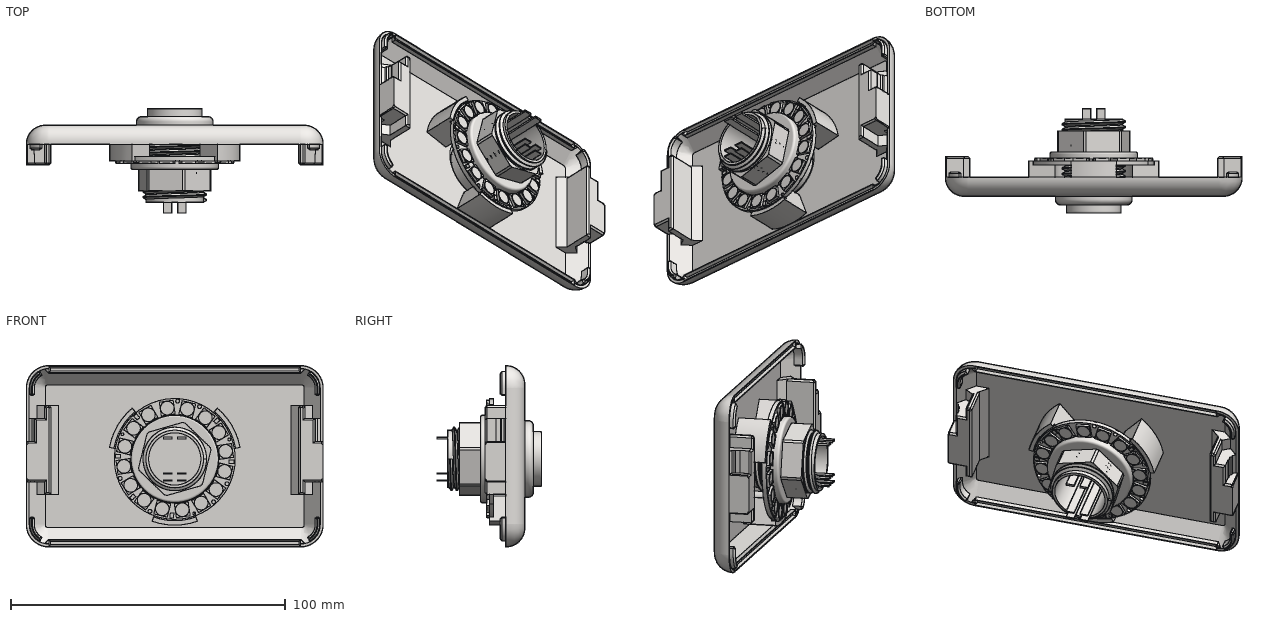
import cadquery as cq
import math


COVER_LENGTH = 108.0
COVER_HEIGHT = 66.0
COVER_DEPTH = 7.0
COVER_CORNER_RADIUS = 8.2
COVER_EDGE_RADIUS = 6.9
FACE_THICKNESS = 1.0
CAVITY_DEPTH = COVER_DEPTH - FACE_THICKNESS
RIM_WIDTH = 1.1
FLOOR_LENGTH = 94.2
FLOOR_HEIGHT = 51.8
FLOOR_CORNER_RADIUS = 1.0

LIP_LENGTH = COVER_LENGTH - 2 * COVER_CORNER_RADIUS
LIP_WIDTH = 2.8
LIP_MITRE = 1.5
LIP_ROOT_DEPTH = 1.8
GROOVE_OFFSET = 0.3
GROOVE_WIDTH = 2.3
GROOVE_DEPTH = 1.0
GROOVE_WALL_RUN = 0.6

LUG_OUTER_RADIUS = 6.9
LUG_INNER_RADIUS = 5.3
LUG_PROTRUSION = 1.9
LUG_ROOT_DEPTH = 2.7
LUG_STRAIGHT = 2.7
LUG_SWEEP = 62.0
LUG_END_CHAMFER = 0.6
LUG_TAIL_CHAMFER = 0.4

CLIP_REACH = 7.5
CLIP_TOP = 18.5
CLIP_BOTTOM = -13.8
CLIP_CHAMFER = 0.6
OUTER_BLOCK_CHAMFER = 0.3
PLATE_OUTER_OFFSET = 6.7
PLATE_INNER_OFFSET = 9.0
RAMP_RUN = 2.8
OUTER_RAMP_RISE = 1.8
OUTER_RAMP_DEPTH = 3.0
INNER_BLOCK_OFFSET = 3.0
INNER_BLOCK_TOP = 13.8
INNER_BLOCK_ROOT = 4.3
OUTER_BLOCK_OFFSET = 0.1
OUTER_BLOCK_TOP = 5.4
OUTER_BLOCK_ROOT = 0.5
BLOCK_BOTTOM = -9.3
CATCH_CREST_OFFSET = 2.2
CATCH_LEDGE_OFFSET = 2.8
CATCH_CREST_START = 0.6
CATCH_CREST_END = 1.4
CATCH_LEDGE_START = 1.8
CATCH_LEDGE_END = 3.5

AXIS_Z = -1.0
HOLDER_COUNT = 3
HOLDER_FIRST_ANGLE = 30.0
HOLDER_INNER_RADIUS = 14.3
HOLDER_OUTER_RADIUS = 24.1
HOLDER_SPAN = 40.0
HOLDER_REACH = 5.9
SEAT_DIAMETER = 44.9

BOARD_DIAMETER = 44.0
BOARD_BORE = 31.6
BOARD_THICKNESS = 1.6
LED_COUNT = 16
LED_PITCH = 360.0 / LED_COUNT
LED_PHASE = -14.1
LED_CIRCLE_RADIUS = 18.7
LED_SIZE = 5.1
LED_HEIGHT = 1.1
LENS_DIAMETER = 5.0
LENS_RECESS = 0.2
BOARD_HOLE_RADIUS = 21.1
LARGE_HOLE_DIAMETER = 1.4
SMALL_HOLE_DIAMETER = 1.0
LARGE_HOLE_GAPS = (3, 4, 9, 11, 14, 15)
SMALL_HOLE_GAPS = (1, 7, 13)
CAPACITOR_GAPS = (0, 2, 6, 8, 10, 12)
CAPACITOR_LENGTH = 1.8
CAPACITOR_WIDTH = 1.3
CAPACITOR_HEIGHT = 0.6
CAPACITOR_RADIUS = 20.6

BEZEL_DIAMETER = 28.0
BEZEL_THICKNESS = 3.1
BEZEL_FILLET = 1.9
COVER_HOLE_DIAMETER = 24.0
CORE_DIAMETER = 21.0
BORE_DIAMETER = 19.0
HOUSING_END = 21.1
WEB_THICKNESS = 2.2
THREAD_DIAMETER = 23.1
THREAD_LENGTH = 22.0
THREAD_TURNS = 11
THREAD_PITCH = THREAD_LENGTH / THREAD_TURNS
THREAD_END = 20.2
THREAD_ROOT_WIDTH = 1.7
THREAD_CREST_WIDTH = 0.3
THREAD_OVERLAP = 0.1

TERMINAL_WIDTH = 3.0
TERMINAL_SPACING = 5.2
TERMINAL_END = 25.0
TERMINAL_ROWS = ((7.6, 0.8), (-5.3, 0.4), (-7.9, 0.4))

FLANGE_DIAMETER = 32.0
FLANGE_END = 9.2
FLANGE_FILLET = 0.9
HEX_ACROSS_FLATS = 24.0
HEX_CORNER_DIAMETER = 27.1
HEX_ANGLE = -14.0
NUT_END = 16.8

PLUNGER_DIAMETER = 20.0
PLUNGER_FRONT = 13.1
PLUNGER_CHAMFER = (0.5, 0.1)


def plane_at(y, x=0.0, z=0.0):
    """Sketch plane at height y: local axes are X and Z, extrusion goes toward -Y."""
    return cq.Workplane("XZ", origin=(x, y, z))


def axis_plane(y):
    """Sketch plane at height y, centred on the button axis."""
    return plane_at(y, z=AXIS_Z)


def cylinder(diameter, y_start, y_end):
    """Cylinder on the button axis running from y_start back to y_end."""
    return axis_plane(y_start).circle(diameter / 2).extrude(y_start - y_end)


def block(x_range, y_range, z_range):
    """Box given by its limits along each axis."""
    lows = [min(limits) for limits in (x_range, y_range, z_range)]
    sizes = [max(limits) - min(limits) for limits in (x_range, y_range, z_range)]
    return cq.Workplane("XY").box(*sizes, centered=False).translate(tuple(lows))


def rounded_rectangle(length, height, radius):
    return cq.Sketch().rect(length, height).vertices().fillet(radius)


def polar_point(radius, angle):
    return (radius * math.cos(math.radians(angle)), radius * math.sin(math.radians(angle)))


def four_corners(body):
    """The body and its mirror images across the YZ and XY planes."""
    pair = body.union(body.mirror("YZ"))
    return pair.union(pair.mirror("XY"))



def make_shell():
    outline = rounded_rectangle(COVER_LENGTH, COVER_HEIGHT, COVER_CORNER_RADIUS)
    shell = plane_at(COVER_DEPTH).placeSketch(outline).extrude(COVER_DEPTH)
    shell = shell.faces(">Y").edges().fillet(COVER_EDGE_RADIUS)
    floor_outline = rounded_rectangle(FLOOR_LENGTH, FLOOR_HEIGHT, FLOOR_CORNER_RADIUS)
    rim_outline = rounded_rectangle(
        COVER_LENGTH - 2 * RIM_WIDTH, COVER_HEIGHT - 2 * RIM_WIDTH, COVER_CORNER_RADIUS - RIM_WIDTH
    )
    cavity = (
        plane_at(CAVITY_DEPTH)
        .placeSketch(floor_outline, rim_outline.moved(cq.Location(cq.Vector(0, 0, CAVITY_DEPTH))))
        .loft()
    )
    return shell.cut(cavity)


def make_lip():
    """Grooved bar along the +Z rim, mitred at its ends."""
    half_length = LIP_LENGTH / 2
    inner_z = COVER_HEIGHT / 2 - LIP_WIDTH
    outer_z = inner_z + LIP_MITRE
    return (
        plane_at(LIP_ROOT_DEPTH)
        .polyline(
            [
                (-half_length, inner_z),
                (half_length, inner_z),
                (half_length + LIP_MITRE, outer_z),
                (-half_length - LIP_MITRE, outer_z),
            ]
        )
        .close()
        .extrude(LIP_ROOT_DEPTH)
    )


def make_lip_groove():
    """Groove in the +Z rim that narrows with depth on all four sides."""
    wall_angle = math.degrees(math.atan(GROOVE_WALL_RUN / GROOVE_DEPTH))
    centre_z = COVER_HEIGHT / 2 - GROOVE_OFFSET - GROOVE_WIDTH / 2
    return plane_at(0, z=centre_z).rect(LIP_LENGTH, GROOVE_WIDTH).extrude(-GROOVE_DEPTH, taper=wall_angle)


def make_corner_lug():
    """Locating lug inside the +X, +Z corner: an arc with a short straight tail."""
    centre_x = COVER_LENGTH / 2 - COVER_CORNER_RADIUS
    centre_z = COVER_HEIGHT / 2 - COVER_CORNER_RADIUS
    lug = (
        plane_at(LUG_ROOT_DEPTH, centre_x, centre_z)
        .moveTo(LUG_INNER_RADIUS, -LUG_STRAIGHT)
        .lineTo(LUG_OUTER_RADIUS, -LUG_STRAIGHT)
        .lineTo(LUG_OUTER_RADIUS, 0)
        .threePointArc(
            polar_point(LUG_OUTER_RADIUS, LUG_SWEEP / 2), polar_point(LUG_OUTER_RADIUS, LUG_SWEEP)
        )
        .lineTo(*polar_point(LUG_INNER_RADIUS, LUG_SWEEP))
        .threePointArc(polar_point(LUG_INNER_RADIUS, LUG_SWEEP / 2), (LUG_INNER_RADIUS, 0))
        .close()
        .extrude(LUG_ROOT_DEPTH + LUG_PROTRUSION)
    )
    lug = lug.edges("|Y and <Z").chamfer(LUG_TAIL_CHAMFER)
    return lug.faces("<Y").edges().chamfer(LUG_END_CHAMFER)


def make_clip():
    """Snap clip on the +X side: braced plate, two stepped blocks and a catch."""
    side = COVER_LENGTH / 2
    plate_outer = side - PLATE_OUTER_OFFSET
    plate_inner = side - PLATE_INNER_OFFSET
    block_outer = side - INNER_BLOCK_OFFSET
    outer_block_side = side - OUTER_BLOCK_OFFSET
    plate = block((plate_inner, plate_outer), (CAVITY_DEPTH, -CLIP_REACH), (CLIP_BOTTOM, CLIP_TOP))
    plate = plate.faces(">Z").edges("|Y").chamfer(CLIP_CHAMFER)
    inner_block = block(
        (plate_inner, block_outer), (INNER_BLOCK_ROOT, -CLIP_REACH), (BLOCK_BOTTOM, INNER_BLOCK_TOP)
    )
    outer_block = block(
        (plate_inner, outer_block_side),
        (OUTER_BLOCK_ROOT, -CLIP_REACH),
        (BLOCK_BOTTOM, OUTER_BLOCK_TOP),
    )
    outer_block = outer_block.faces(">X").edges("|Y").chamfer(OUTER_BLOCK_CHAMFER)
    clip = plate.union(inner_block).union(outer_block).clean()
    clip = clip.faces("<Y").edges("not >X").chamfer(CLIP_CHAMFER)
    return clip.union(make_ramps(plate_inner, plate_outer)).union(make_catch(block_outer))


def make_ramps(plate_inner, plate_outer):
    """Wedges that brace the clip plate against the floor and the sloping side wall."""
    return (
        cq.Workplane("XY", origin=(0, 0, CLIP_BOTTOM))
        .moveTo(plate_inner - RAMP_RUN, CAVITY_DEPTH)
        .lineTo(plate_inner, CAVITY_DEPTH - RAMP_RUN)
        .lineTo(plate_outer, OUTER_RAMP_DEPTH - OUTER_RAMP_RISE)
        .lineTo(plate_outer + RAMP_RUN, OUTER_RAMP_DEPTH)
        .lineTo(plate_outer, CAVITY_DEPTH)
        .close()
        .extrude(CLIP_TOP - CLIP_BOTTOM)
    )


def make_catch(block_outer):
    """Snap ridge on the upper step of the clip, running down to the rim."""
    crest = COVER_LENGTH / 2 - CATCH_CREST_OFFSET
    ledge = COVER_LENGTH / 2 - CATCH_LEDGE_OFFSET
    rim_inner = COVER_LENGTH / 2 - RIM_WIDTH
    return (
        cq.Workplane("XY", origin=(0, 0, OUTER_BLOCK_TOP))
        .moveTo(block_outer, INNER_BLOCK_ROOT)
        .lineTo(rim_inner, RIM_WIDTH)
        .lineTo(rim_inner, 0)
        .lineTo(crest, -CATCH_CREST_START)
        .lineTo(crest, -CATCH_CREST_END)
        .lineTo(ledge, -CATCH_LEDGE_START)
        .lineTo(ledge, -CATCH_LEDGE_END)
        .lineTo(block_outer, -CATCH_LEDGE_END)
        .close()
        .extrude(INNER_BLOCK_TOP - OUTER_BLOCK_TOP)
    )


def make_holder(angle):
    """Arc-shaped post that carries the LED ring, centred on the given angle."""
    start = angle - HOLDER_SPAN / 2
    end = angle + HOLDER_SPAN / 2
    return (
        axis_plane(CAVITY_DEPTH)
        .moveTo(*polar_point(HOLDER_INNER_RADIUS, start))
        .lineTo(*polar_point(HOLDER_OUTER_RADIUS, start))
        .threePointArc(polar_point(HOLDER_OUTER_RADIUS, angle), polar_point(HOLDER_OUTER_RADIUS, end))
        .lineTo(*polar_point(HOLDER_INNER_RADIUS, end))
        .threePointArc(
            polar_point(HOLDER_INNER_RADIUS, angle), polar_point(HOLDER_INNER_RADIUS, start)
        )
        .close()
        .extrude(CAVITY_DEPTH + HOLDER_REACH)
    )


def make_cover():
    clip = make_clip()
    lip = make_lip()
    groove = make_lip_groove()
    cover = make_shell().union(lip).union(lip.mirror("XY"))
    cover = cover.cut(groove).cut(groove.mirror("XY"))
    cover = cover.union(four_corners(make_corner_lug()))
    cover = cover.union(clip).union(clip.mirror("YZ"))
    for index in range(HOLDER_COUNT):
        cover = cover.union(make_holder(HOLDER_FIRST_ANGLE + index * 360 / HOLDER_COUNT))
    ring_seat = cylinder(SEAT_DIAMETER, BOARD_THICKNESS - HOLDER_REACH, -HOLDER_REACH)
    button_hole = cylinder(COVER_HOLE_DIAMETER, COVER_DEPTH, 0)
    return cover.cut(ring_seat).cut(button_hole)



def make_led(angle):
    led = plane_at(-HOLDER_REACH).rect(LED_SIZE, LED_SIZE).extrude(LED_HEIGHT)
    led = led.faces("<Y").workplane().hole(LENS_DIAMETER, LENS_RECESS)
    return place_on_ring(led, LED_CIRCLE_RADIUS, angle)


def make_capacitor(angle):
    part = plane_at(-HOLDER_REACH).rect(CAPACITOR_LENGTH, CAPACITOR_WIDTH).extrude(CAPACITOR_HEIGHT)
    return place_on_ring(part, CAPACITOR_RADIUS, angle)


def place_on_ring(part, radius, angle):
    """Move a part out along +X, then turn it about the button axis."""
    moved = part.translate((radius, 0, AXIS_Z))
    return moved.rotate((0, 0, AXIS_Z), (0, -1, AXIS_Z), angle)


def gap_angle(gap):
    """Angle of the gap that follows the LED with the same number."""
    return LED_PHASE + (gap + 0.5) * LED_PITCH


def drill_board(board, gaps, diameter):
    centres = [polar_point(BOARD_HOLE_RADIUS, gap_angle(gap)) for gap in gaps]
    holes = (
        axis_plane(BOARD_THICKNESS - HOLDER_REACH)
        .pushPoints(centres)
        .circle(diameter / 2)
        .extrude(BOARD_THICKNESS)
    )
    return board.cut(holes)


def make_led_ring():
    ring = cylinder(BOARD_DIAMETER, BOARD_THICKNESS - HOLDER_REACH, -HOLDER_REACH)
    ring = ring.cut(cylinder(BOARD_BORE, BOARD_THICKNESS - HOLDER_REACH, -HOLDER_REACH))
    ring = drill_board(ring, LARGE_HOLE_GAPS, LARGE_HOLE_DIAMETER)
    ring = drill_board(ring, SMALL_HOLE_GAPS, SMALL_HOLE_DIAMETER)
    for index in range(LED_COUNT):
        ring = ring.union(make_led(LED_PHASE + index * LED_PITCH))
    for gap in CAPACITOR_GAPS:
        ring = ring.union(make_capacitor(gap_angle(gap)))
    return ring



def make_thread():
    """Right-handed helical ridge around the housing core."""
    core_radius = CORE_DIAMETER / 2
    root_radius = core_radius - THREAD_OVERLAP
    helix = cq.Wire.makeHelix(THREAD_PITCH, THREAD_LENGTH, core_radius)
    ridge = (
        cq.Workplane("XZ")
        .moveTo(root_radius, -THREAD_ROOT_WIDTH / 2)
        .lineTo(THREAD_DIAMETER / 2, -THREAD_CREST_WIDTH / 2)
        .lineTo(THREAD_DIAMETER / 2, THREAD_CREST_WIDTH / 2)
        .lineTo(root_radius, THREAD_ROOT_WIDTH / 2)
        .close()
        .sweep(cq.Workplane(helix), isFrenet=True)
    )
    ridge = ridge.rotate((0, 0, 0), (1, 0, 0), 90)
    return ridge.translate((0, THREAD_LENGTH - THREAD_END, AXIS_Z))


def make_terminals(floor_y):
    terminals = cq.Workplane("XZ")
    for height, thickness in TERMINAL_ROWS:
        row = (
            axis_plane(floor_y)
            .pushPoints([(-TERMINAL_SPACING / 2, height), (TERMINAL_SPACING / 2, height)])
            .rect(TERMINAL_WIDTH, thickness)
            .extrude(floor_y + TERMINAL_END)
        )
        terminals = terminals.add(row)
    return terminals


def make_housing():
    bezel_front = COVER_DEPTH + BEZEL_THICKNESS
    floor_y = COVER_DEPTH - WEB_THICKNESS
    bezel = cylinder(BEZEL_DIAMETER, bezel_front, COVER_DEPTH)
    bezel = bezel.faces(">Y").edges().fillet(BEZEL_FILLET)
    housing = bezel.union(cylinder(CORE_DIAMETER, COVER_DEPTH, -HOUSING_END))
    housing = housing.union(make_thread())
    housing = housing.cut(cylinder(BORE_DIAMETER, floor_y, -HOUSING_END))
    housing = housing.cut(cylinder(PLUNGER_DIAMETER, bezel_front, COVER_DEPTH))
    for terminal in make_terminals(floor_y).solids().vals():
        housing = housing.union(cq.Workplane(terminal))
    return housing



def make_nut():
    flange = cylinder(FLANGE_DIAMETER, -HOLDER_REACH, -FLANGE_END)
    flange = flange.faces("<Y").edges().fillet(FLANGE_FILLET)
    hexagon = (
        axis_plane(-FLANGE_END)
        .polygon(6, HEX_ACROSS_FLATS, circumscribed=True)
        .extrude(NUT_END - FLANGE_END)
        .rotate((0, 0, AXIS_Z), (0, -1, AXIS_Z), HEX_ANGLE)
    )
    hexagon = hexagon.intersect(cylinder(HEX_CORNER_DIAMETER, -FLANGE_END, -NUT_END))
    return flange.union(hexagon).cut(cylinder(THREAD_DIAMETER, -HOLDER_REACH, -NUT_END))


def make_plunger():
    plunger = cylinder(PLUNGER_DIAMETER, PLUNGER_FRONT, COVER_DEPTH)
    return plunger.faces(">Y").edges().chamfer(*PLUNGER_CHAMFER)


cover = make_cover()
led_ring = make_led_ring()
housing = make_housing()
nut = make_nut()
plunger = make_plunger()

result = cq.Compound.makeCompound(
    [cover.val(), led_ring.val(), housing.val(), nut.val(), plunger.val()]
)